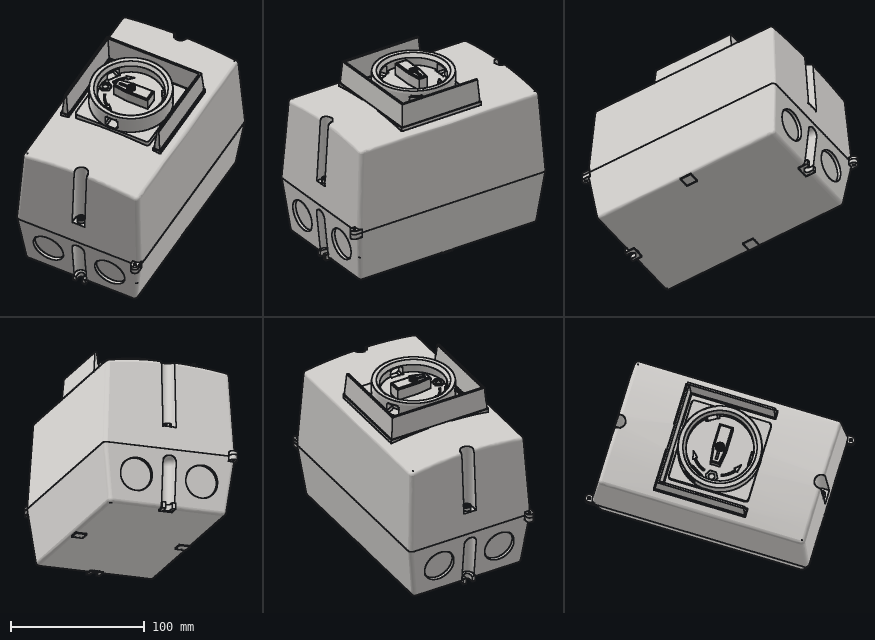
import cadquery as cq
import math

SEAM_Z = 46.0
SEAM_HALF_X = 52.59
SEAM_HALF_Y = 85.0
BASE_FLOOR_Z = 0.7
BASE_FLOOR_HALF_X = 46.9
BASE_FLOOR_HALF_Y = 80.3
COVER_TOP_HALF_X = 48.9
COVER_TOP_HALF_Y = 80.5
CROWN_Z = 117.3
CROWN_SAG = 4.1
EDGE_RADIUS = 3.0

GROOVE_WIDTH = 10.5
GROOVE_RADIUS = GROOVE_WIDTH / 2
GROOVE_Y = 79.2
COVER_GROOVE_FLOOR_Z = 64.2
BASE_GROOVE_TOP_Z = 41.5
SCREW_DIAMETER = 6.0
SCREW_HEIGHT = 3.0
CROSS_LENGTH = 4.7
CROSS_WIDTH = 1.0
CROSS_DEPTH = 0.9
FORK_INNER_Y = 74.3
FORK_OUTER_Y = 82.6
FORK_HEIGHT = 4.7
FORK_SLOT_WIDTH = 5.0
FOOT_X = 41.1
FOOT_SIZE_X = 8.7
FOOT_SIZE_Y = 9.4

KNOCKOUT_X = 26.0
KNOCKOUT_Z = 24.2
KNOCKOUT_RADIUS = 12.6
KNOCKOUT_DEPTH = 2.7

EAR_END_Y = 90.2
EAR_WIDTH = 6.0
EAR_RADIUS = EAR_WIDTH / 2
EAR_X = SEAM_HALF_X - EAR_RADIUS
EAR_Y = EAR_END_Y - EAR_RADIUS
EAR_HOLE_DIAMETER = 1.8
EAR_TOP_Z = 48.9
EAR_BOTTOM_Z = 42.0

GUARD_TOP_Z = 135.5
RIM_TOP_Z = 117.0
RIM_OUTER = (42.0, -32.5, 39.1)
RIM_INNER = (35.7, 33.0)
WALL_OUTER_BOTTOM = (41.3, -32.0, 38.5)
WALL_OUTER_TOP = (39.9, -30.7, 37.2)
WALL_INNER_BOTTOM = (36.5, 33.7)
WALL_INNER_TOP = (38.5, 35.7)

PLATE_SIZE = 62.2
PLATE_CORNER = 2.3
PLATE_TOP_Z = 120.0
DIAL_RADIUS = 31.5
DIAL_TOP_Z = 134.4
DIAL_BEVEL_HEIGHT = 2.2
DIAL_BEVEL_INSET = 0.4
DISH_TOP_RADIUS = 27.8
DISH_RADIUS = 25.5
DISH_CONE_DEPTH = 3.0
DISH_FLOOR_Z = 124.8
PADLOCK_ANGLES = (30, 150, 270)
PADLOCK_WIDTH = 10.5
PADLOCK_BOTTOM_Z = 121.5
PADLOCK_TOP_Z = 130.6
PADLOCK_CORNER = 1.5
PADLOCK_INNER_RADIUS = 23.3
HANDLE_TIP_X = -12.8
HANDLE_WAIST_X = -1.0
HANDLE_TAIL_X = 16.8
HANDLE_TIP_HALF_WIDTH = 3.6
HANDLE_HALF_WIDTH = 5.2
HANDLE_TOP_Z = 135.0
HANDLE_BEVEL = 0.9
HANDLE_BORE_RADIUS = 3.2
HANDLE_BORE_DEPTH = 1.5
HANDLE_SCREW_RADIUS = 2.5
HANDLE_SCREW_HEIGHT = 0.9
MARK_START_X = -9.7
MARK_END_X = -4.0
MARK_WIDTH = 1.5
MARK_DEPTH = 0.4
LOCK_X = -21.6
LOCK_HEX_WIDTH = 8.1
LOCK_HEIGHT = 0.7
LOCK_HOLE_RADIUS = 2.3
ARROW_RADIUS = 19.8
ARROW_SHAFT_WIDTH = 1.3
ARROW_HEAD_WIDTH = 3.6
ARROW_TAIL_ANGLE = 160
ARROW_NECK_ANGLE = 127
ARROW_TIP_ANGLE = 110
ARROW_DEPTH = 0.4

THROUGH = 180.4
CLEARANCE = 1.8

BELOW_ARCH_Z = CROWN_Z - CROWN_SAG - EDGE_RADIUS - CLEARANCE


def block(x_min, x_max, y_min, y_max, z_min, z_max):
    return (
        cq.Workplane("XY", origin=((x_min + x_max) / 2, (y_min + y_max) / 2, z_min))
        .rect(x_max - x_min, y_max - y_min)
        .extrude(z_max - z_min)
    )


def cylinder(x, y, radius, z_min, z_max):
    return cq.Workplane("XY", origin=(x, y, z_min)).circle(radius).extrude(z_max - z_min)


def tapered_block(bottom, bottom_z, top, top_z):
    """Frustum between two rectangles given as (half width, front Y, back Y)."""
    (half_b, front_b, back_b) = bottom
    (half_t, front_t, back_t) = top
    return (
        cq.Workplane("XY", origin=(0, (front_b + back_b) / 2, bottom_z))
        .rect(2 * half_b, back_b - front_b)
        .workplane(offset=top_z - bottom_z)
        .center(0, (front_t + back_t - front_b - back_b) / 2)
        .rect(2 * half_t, back_t - front_t)
        .loft(ruled=True)
    )


def mirrored_in_y(shape):
    """The shape together with its mirror image across the XZ plane."""
    return shape.union(shape.mirror("XZ"))


def below_crown():
    """Everything under the arched top, as a long prism along Y."""
    half = COVER_TOP_HALF_X
    radius = (half**2 + CROWN_SAG**2) / (2 * CROWN_SAG)
    wide = SEAM_HALF_X + CLEARANCE
    edge_z = CROWN_Z - radius + math.sqrt(radius**2 - wide**2)
    return (
        cq.Workplane("XZ", origin=(0, THROUGH / 2, 0))
        .moveTo(-wide, 0)
        .lineTo(-wide, edge_z)
        .threePointArc((0, CROWN_Z), (wide, edge_z))
        .lineTo(wide, 0)
        .close()
        .extrude(THROUGH)
    )


def groove_cut(z_min, z_max):
    """Vertical groove in the -Y end, round at its back and open outwards."""
    round_back = cylinder(0, -GROOVE_Y, GROOVE_RADIUS, z_min, z_max)
    mouth = block(-GROOVE_RADIUS, GROOVE_RADIUS, -EAR_END_Y, -GROOVE_Y, z_min, z_max)
    return round_back.union(mouth)


def cross_recess(x, y, top_z):
    bottom_z = top_z - CROSS_DEPTH
    half_length = CROSS_LENGTH / 2
    half_width = CROSS_WIDTH / 2
    slot = block(-half_length, half_length, -half_width, half_width, bottom_z, top_z)
    cross = slot.union(slot.rotate((0, 0, 0), (0, 0, 1), 90))
    return cross.rotate((0, 0, 0), (0, 0, 1), 45).translate((x, y, 0))


def ears(z_min, z_max):
    """Drilled ears at the (+X, -Y) and (-X, +Y) corners."""
    tip = cylinder(EAR_X, -EAR_Y, EAR_RADIUS, z_min, z_max)
    root_y = EDGE_RADIUS - SEAM_HALF_Y
    root = block(EAR_X - EAR_RADIUS, EAR_X + EAR_RADIUS, -EAR_Y, root_y, z_min, z_max)
    hole = cylinder(EAR_X, -EAR_Y, EAR_HOLE_DIAMETER / 2, z_min, z_max)
    ear = tip.union(root).cut(hole)
    return ear.union(ear.rotate((0, 0, 0), (0, 0, 1), 180))


def base_groove_cut():
    """Mounting groove that ends in a dome near the seam."""
    dome_z = BASE_GROOVE_TOP_Z - GROOVE_RADIUS
    dome = cq.Workplane("XY", origin=(0, -GROOVE_Y, dome_z)).sphere(GROOVE_RADIUS)
    arched_mouth = (
        cq.Workplane("XZ", origin=(0, -GROOVE_Y, dome_z))
        .circle(GROOVE_RADIUS)
        .extrude(EAR_END_Y - GROOVE_Y)
    )
    return groove_cut(0, dome_z).union(dome).union(arched_mouth)


def mounting_fork():
    """Tab at the foot of the base groove with a screw slot open outwards."""
    half_slot = FORK_SLOT_WIDTH / 2
    tab = block(-GROOVE_RADIUS, GROOVE_RADIUS, -FORK_OUTER_Y, -FORK_INNER_Y, 0, FORK_HEIGHT)
    slot_end = cylinder(0, -GROOVE_Y, half_slot, 0, FORK_HEIGHT)
    slot = block(-half_slot, half_slot, -FORK_OUTER_Y, -GROOVE_Y, 0, FORK_HEIGHT)
    return tab.cut(slot_end).cut(slot)


def knockout_cuts():
    """Round recesses whose floors are parallel to the sloping -Y end."""
    slope = (SEAM_HALF_Y - BASE_FLOOR_HALF_Y) / (SEAM_Z - BASE_FLOOR_Z)
    wall_y = BASE_FLOOR_HALF_Y + slope * (KNOCKOUT_Z - BASE_FLOOR_Z)
    plane = cq.Plane(
        origin=(0, -wall_y, KNOCKOUT_Z),
        xDir=(1, 0, 0),
        normal=(0, -1, -slope),
    )
    return (
        cq.Workplane(plane)
        .pushPoints([(-KNOCKOUT_X, 0), (KNOCKOUT_X, 0)])
        .circle(KNOCKOUT_RADIUS)
        .extrude(KNOCKOUT_DEPTH, both=True)
    )


def make_base():
    body = tapered_block(
        (BASE_FLOOR_HALF_X, -BASE_FLOOR_HALF_Y, BASE_FLOOR_HALF_Y),
        BASE_FLOOR_Z,
        (SEAM_HALF_X, -SEAM_HALF_Y, SEAM_HALF_Y),
        SEAM_Z,
    )
    body = body.edges("not(#Z)").fillet(EDGE_RADIUS)
    body = body.faces("<Z").edges().fillet(EDGE_RADIUS)
    body = body.cut(mirrored_in_y(base_groove_cut()))
    body = body.cut(mirrored_in_y(knockout_cuts()))
    body = body.union(mirrored_in_y(mounting_fork()))
    for x in (-FOOT_X, FOOT_X):
        half_x = FOOT_SIZE_X / 2
        half_y = FOOT_SIZE_Y / 2
        foot_top = BASE_FLOOR_Z + EDGE_RADIUS
        body = body.union(block(x - half_x, x + half_x, -half_y, half_y, 0, foot_top))
    return body.union(ears(EAR_BOTTOM_Z, SEAM_Z))


def cover_screw():
    top_z = COVER_GROOVE_FLOOR_Z + SCREW_HEIGHT
    head = cylinder(0, -GROOVE_Y, SCREW_DIAMETER / 2, COVER_GROOVE_FLOOR_Z, top_z)
    return head.cut(cross_recess(0, -GROOVE_Y, top_z))


def guard():
    """Tapered wall on three sides of the switch, standing on a wider rim."""
    rim_half, rim_front, rim_back = RIM_OUTER
    rim_hole_half, rim_hole_back = RIM_INNER
    rim = block(-rim_half, rim_half, rim_front, rim_back, BELOW_ARCH_Z, RIM_TOP_Z)
    rim_hole = block(
        -rim_hole_half, rim_hole_half, -THROUGH / 2, rim_hole_back, BELOW_ARCH_Z, RIM_TOP_Z
    )
    wall = tapered_block(WALL_OUTER_BOTTOM, RIM_TOP_Z, WALL_OUTER_TOP, GUARD_TOP_Z)
    hole_bottom_half, hole_bottom_back = WALL_INNER_BOTTOM
    hole_top_half, hole_top_back = WALL_INNER_TOP
    wall_hole = tapered_block(
        (hole_bottom_half, -THROUGH / 2, hole_bottom_back),
        RIM_TOP_Z,
        (hole_top_half, -THROUGH / 2, hole_top_back),
        GUARD_TOP_Z,
    )
    return rim.cut(rim_hole).union(wall.cut(wall_hole))


def make_cover():
    blank = tapered_block(
        (SEAM_HALF_X, -SEAM_HALF_Y, SEAM_HALF_Y),
        SEAM_Z,
        (COVER_TOP_HALF_X, -COVER_TOP_HALF_Y, COVER_TOP_HALF_Y),
        CROWN_Z,
    )
    body = blank.intersect(below_crown())
    side_edges = cq.selectors.BoxSelector(
        (-THROUGH, -THROUGH, SEAM_Z + CLEARANCE), (THROUGH, THROUGH, BELOW_ARCH_Z)
    )
    body = body.edges(side_edges).fillet(EDGE_RADIUS)
    top_edges = cq.selectors.BoxSelector(
        (-THROUGH, -THROUGH, BELOW_ARCH_Z), (THROUGH, THROUGH, THROUGH)
    )
    body = body.edges(top_edges).fillet(EDGE_RADIUS)
    body = body.cut(mirrored_in_y(groove_cut(COVER_GROOVE_FLOOR_Z, CROWN_Z)))
    body = body.union(mirrored_in_y(cover_screw()))
    body = body.union(guard())
    return body.union(ears(SEAM_Z, EAR_TOP_Z))


def plate():
    """Square plate whose underside follows the arched top of the cover."""
    half = PLATE_SIZE / 2
    slab = block(-half, half, -half, half, CROWN_Z - CROWN_SAG, PLATE_TOP_Z)
    return slab.edges("|Z").fillet(PLATE_CORNER).cut(below_crown())


def dial():
    """Round dish with a conical mouth and a slightly bevelled outer rim."""
    half_section = [
        (0, PLATE_TOP_Z),
        (DIAL_RADIUS, PLATE_TOP_Z),
        (DIAL_RADIUS, DIAL_TOP_Z - DIAL_BEVEL_HEIGHT),
        (DIAL_RADIUS - DIAL_BEVEL_INSET, DIAL_TOP_Z),
        (DISH_TOP_RADIUS, DIAL_TOP_Z),
        (DISH_RADIUS, DIAL_TOP_Z - DISH_CONE_DEPTH),
        (DISH_RADIUS, DISH_FLOOR_Z),
        (0, DISH_FLOOR_Z),
    ]
    return cq.Workplane("XZ").polyline(half_section).close().revolve(360, (0, 0), (0, 1))


def padlock_cut(angle):
    """Radial padlock opening through the dial wall."""
    half = PADLOCK_WIDTH / 2
    opening = block(
        PADLOCK_INNER_RADIUS, DIAL_RADIUS + CLEARANCE, -half, half,
        PADLOCK_BOTTOM_Z, PADLOCK_TOP_Z,
    )
    opening = opening.edges("|X").chamfer(PADLOCK_CORNER)
    return opening.rotate((0, 0, 0), (0, 0, 1), angle)


def handle():
    """Grip that narrows to a pointer, with a sunk screw and a pointer mark."""
    outline = [
        (HANDLE_TIP_X, -HANDLE_TIP_HALF_WIDTH),
        (HANDLE_WAIST_X, -HANDLE_HALF_WIDTH),
        (HANDLE_TAIL_X, -HANDLE_HALF_WIDTH),
        (HANDLE_TAIL_X, HANDLE_HALF_WIDTH),
        (HANDLE_WAIST_X, HANDLE_HALF_WIDTH),
        (HANDLE_TIP_X, HANDLE_TIP_HALF_WIDTH),
    ]
    grip = (
        cq.Workplane("XY", origin=(0, 0, DISH_FLOOR_Z))
        .polyline(outline)
        .close()
        .extrude(HANDLE_TOP_Z - DISH_FLOOR_Z)
        .faces(">Z")
        .chamfer(HANDLE_BEVEL)
    )
    bore_floor_z = HANDLE_TOP_Z - HANDLE_BORE_DEPTH
    screw_top_z = bore_floor_z + HANDLE_SCREW_HEIGHT
    bore = cylinder(0, 0, HANDLE_BORE_RADIUS, bore_floor_z, HANDLE_TOP_Z)
    screw = cylinder(0, 0, HANDLE_SCREW_RADIUS, bore_floor_z, screw_top_z)
    screw = screw.cut(cross_recess(0, 0, screw_top_z))
    mark = block(
        MARK_START_X, MARK_END_X, -MARK_WIDTH / 2, MARK_WIDTH / 2,
        HANDLE_TOP_Z - MARK_DEPTH, HANDLE_TOP_Z,
    )
    return grip.cut(bore).cut(mark).union(screw)


def lock_boss():
    """Hexagonal boss with a blind hole, beside the tip of the handle."""
    corner_diameter = LOCK_HEX_WIDTH / math.cos(math.radians(30))
    hexagon = (
        cq.Workplane("XY", origin=(LOCK_X, 0, DISH_FLOOR_Z))
        .transformed(rotate=(0, 0, 30))
        .polygon(6, corner_diameter)
        .extrude(LOCK_HEIGHT)
    )
    hole_top_z = DISH_FLOOR_Z + LOCK_HEIGHT
    return hexagon.cut(cylinder(LOCK_X, 0, LOCK_HOLE_RADIUS, DISH_FLOOR_Z, hole_top_z))


def polar(radius, angle):
    turn = math.radians(angle)
    return (radius * math.cos(turn), radius * math.sin(turn))


def arrow_cuts():
    """Two engraved arrows that curve from the lock to the switch positions."""
    inner = ARROW_RADIUS - ARROW_SHAFT_WIDTH / 2
    outer = ARROW_RADIUS + ARROW_SHAFT_WIDTH / 2
    middle_angle = (ARROW_TAIL_ANGLE + ARROW_NECK_ANGLE) / 2
    arrow = (
        cq.Workplane("XY", origin=(0, 0, DISH_FLOOR_Z - ARROW_DEPTH))
        .moveTo(*polar(outer, ARROW_TAIL_ANGLE))
        .threePointArc(polar(outer, middle_angle), polar(outer, ARROW_NECK_ANGLE))
        .lineTo(*polar(ARROW_RADIUS + ARROW_HEAD_WIDTH / 2, ARROW_NECK_ANGLE))
        .lineTo(*polar(ARROW_RADIUS, ARROW_TIP_ANGLE))
        .lineTo(*polar(ARROW_RADIUS - ARROW_HEAD_WIDTH / 2, ARROW_NECK_ANGLE))
        .lineTo(*polar(inner, ARROW_NECK_ANGLE))
        .threePointArc(polar(inner, middle_angle), polar(inner, ARROW_TAIL_ANGLE))
        .close()
        .extrude(ARROW_DEPTH)
    )
    return mirrored_in_y(arrow)


def make_switch():
    body = plate().union(dial())
    for angle in PADLOCK_ANGLES:
        body = body.cut(padlock_cut(angle))
    body = body.cut(arrow_cuts())
    return body.union(handle()).union(lock_boss())


base = make_base()
cover = make_cover()
switch = make_switch()

result = cq.Compound.makeCompound([base.solids().val(), cover.solids().val(), switch.solids().val()])